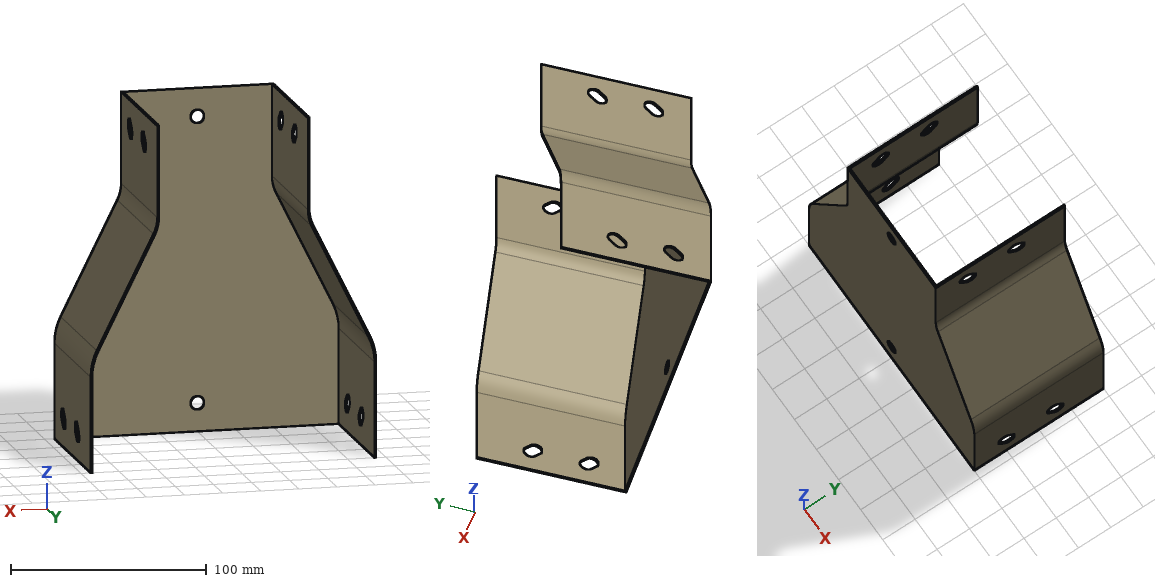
import cadquery as cq

height = 180.0
depth = 80.0
wide_width = 150.0
narrow_width = 80.0
sheet_thickness = 0.9

taper_bottom = 57.5
taper_slope = 2.0
lower_bend_radius = 30.6
upper_bend_radius = 19.0

end_margin = 15.0
hole_diameter = 7.0
slot_width = 7.0
slot_length = 11.2
slot_angle = 45.0
first_slot_depth = 20.0
slot_spacing = 30.0

select_margin = 1.8

half_wide = wide_width / 2
half_narrow = narrow_width / 2
taper_top = taper_bottom + taper_slope * (half_wide - half_narrow)
hole_heights = (end_margin, height - end_margin)
slot_depths = (first_slot_depth, first_slot_depth + slot_spacing)


def round_corners(block, corner_height, radius):
    """Fillet the two front-to-back edges, one on each side, at the given height."""
    near_corner = cq.selectors.BoxSelector(
        (-wide_width, depth / 2 - select_margin, corner_height - select_margin),
        (wide_width, depth / 2 + select_margin, corner_height + select_margin),
    )
    return block.edges(near_corner).fillet(radius)


def make_tapered_block():
    """Solid block with the outline of the front plate and rounded taper corners."""
    right_side = [
        (half_wide, 0),
        (half_wide, taper_bottom),
        (half_narrow, taper_top),
        (half_narrow, height),
    ]
    left_side = [(-x, z) for x, z in reversed(right_side)]
    block = cq.Workplane("XZ").polyline(right_side + left_side).close().extrude(-depth)
    block = round_corners(block, taper_bottom, lower_bend_radius)
    return round_corners(block, taper_top, upper_bend_radius)


def make_channel():
    """Front plate with a folded wall along each side, open at the back, top and bottom."""
    return make_tapered_block().faces(">Y or >Z or <Z").shell(-sheet_thickness)


def front_hole_cutters():
    """Round holes on the center line of the front plate."""
    return (
        cq.Workplane("XZ")
        .pushPoints([(0, z) for z in hole_heights])
        .circle(hole_diameter / 2)
        .extrude(-2 * sheet_thickness)
    )


def wall_slot_cutters(side):
    """Inclined slots through one wall: side is +1 for +X and -1 for -X."""
    return (
        cq.Workplane("YZ")
        .pushPoints([(y, z) for y in slot_depths for z in hole_heights])
        .slot2D(slot_length, slot_width, -side * slot_angle)
        .extrude(side * half_wide)
    )


result = make_channel().cut(front_hole_cutters())
for wall_side in (-1, 1):
    result = result.cut(wall_slot_cutters(wall_side))